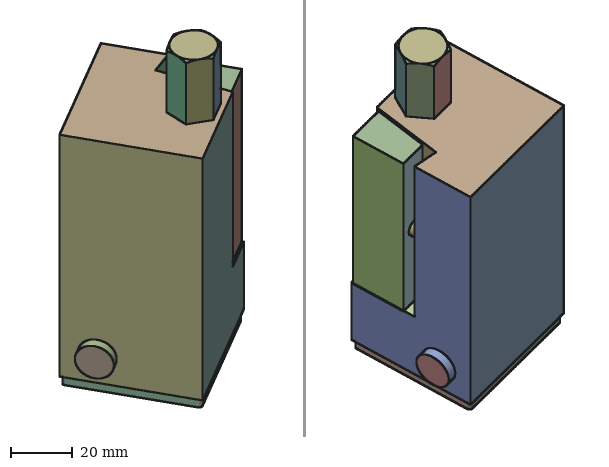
import cadquery as cq
import math

total_height = 127.9
block_x = 48.0
block_y = 50.5
block_bottom = 4.0
block_top = 102.3
left = -block_x / 2
right = block_x / 2
back = block_y / 2

foot_diameter = 40.0
foot_height = 0.4
base_inset = 0.5
base_corner_radius = 1.3

side_pin_diameter = 13.0
side_pin_span = 57.5
side_pin_x = left + 12.7
side_pin_z = 15.0

hex_flats = 15.7
hex_x = left + 38.0
hex_chamfer_angle = 30.0

slot_floor = 31.2
slot_mouth_x = left + 22.6
slot_corner_x = left + 20.8
slot_corner_depth = 9.2
slot_right_depth = 13.7

jaw_left = left + 26.9
jaw_right = right - 0.8
jaw_top = block_top - 1.2
jaw_protrusion = 0.3

cross_pin_diameter = 6.0
cross_pin_depth = 5.6
cross_pin_z = (slot_floor + jaw_top) / 2


def slot_wall_y(x):
    """Y of the sloping slot wall at a given X."""
    slope = (slot_right_depth - slot_corner_depth) / (right - slot_corner_x)
    return back - slot_corner_depth - slope * (x - slot_corner_x)


def prism(points, bottom, top):
    """Extrude a closed XY outline between two heights."""
    return cq.Workplane("XY", origin=(0, 0, bottom)).polyline(points).close().extrude(top - bottom)


def make_block():
    block = (
        cq.Workplane("XY", origin=(0, 0, block_bottom))
        .rect(block_x, block_y)
        .extrude(block_top - block_bottom)
    )
    slot_outline = [
        (slot_mouth_x, back),
        (slot_corner_x, back - slot_corner_depth),
        (right, back - slot_right_depth),
        (right, back),
    ]
    return block.cut(prism(slot_outline, slot_floor, block_top))


def make_base():
    foot = cq.Workplane("XY").circle(foot_diameter / 2).extrude(foot_height)
    plate = (
        cq.Workplane("XY", origin=(0, 0, foot_height))
        .rect(block_x - 2 * base_inset, block_y - 2 * base_inset)
        .extrude(block_bottom - foot_height)
        .edges("|Z")
        .fillet(base_corner_radius)
    )
    return plate.union(foot)


def make_jaw():
    jaw_back = back + jaw_protrusion
    outline = [
        (jaw_left, jaw_back),
        (jaw_left, slot_wall_y(jaw_left)),
        (jaw_right, slot_wall_y(jaw_right)),
        (jaw_right, jaw_back),
    ]
    return prism(outline, slot_floor, jaw_top)


def make_cross_pin():
    return (
        cq.Workplane("YZ", origin=(slot_corner_x, back - cross_pin_depth, cross_pin_z))
        .circle(cross_pin_diameter / 2)
        .extrude(jaw_left - slot_corner_x)
    )


def make_side_pins():
    return (
        cq.Workplane("XZ", origin=(side_pin_x, 0, side_pin_z))
        .circle(side_pin_diameter / 2)
        .extrude(side_pin_span / 2, both=True)
    )


def make_hex_stem():
    stem_height = total_height - block_top
    flat_radius = hex_flats / 2
    corner_radius = flat_radius / math.cos(math.radians(30))
    cone_drop = (corner_radius - flat_radius) * math.tan(math.radians(hex_chamfer_angle))
    stem = (
        cq.Workplane("XY")
        .polygon(6, 2 * corner_radius)
        .extrude(stem_height)
        .rotate((0, 0, 0), (0, 0, 1), 30)
    )
    trim = (
        cq.Workplane("XZ")
        .polyline([
            (0, 0),
            (corner_radius, 0),
            (corner_radius, stem_height - cone_drop),
            (flat_radius, stem_height),
            (0, stem_height),
        ])
        .close()
        .revolve(360, (0, 0, 0), (0, 1, 0))
    )
    return stem.intersect(trim).translate((hex_x, 0, block_top))


result = (
    make_block()
    .union(make_base())
    .union(make_jaw())
    .union(make_cross_pin())
    .union(make_side_pins())
    .union(make_hex_stem())
)